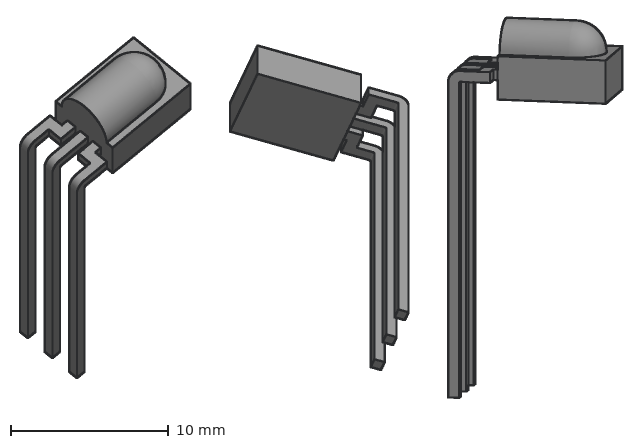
import cadquery as cq

total_height = 24.1
total_depth = 10.2

body_width = 5.09
body_depth = 7.0
body_height = 2.8
lens_radius = 2.0
lens_back_margin = 0.5
body_top = total_height - lens_radius
lens_straight_length = body_depth - lens_back_margin - lens_radius

lead_size = 0.7
lead_reach = total_depth - body_depth
bend_inner_radius = 0.12
bend_outer_radius = lead_size
lead_center_z = body_top - body_height / 2
lead_top = lead_center_z + lead_size / 2
lead_bottom = lead_center_z - lead_size / 2

jog_gap = 0.5
jog_depth = 0.82
root_width = 0.72
root_inner_x = 0.77
outer_lead_x = (body_width - lead_size) / 2


def make_body():
    """Rectangular block carrying a half-cylinder lens with a spherical end."""
    block = cq.Workplane("XY").box(body_width, body_depth, body_height, centered=(True, False, False))
    block = block.translate((0, 0, body_top - body_height))
    barrel = (
        cq.Workplane("XZ", origin=(0, 0, body_top))
        .moveTo(-lens_radius, 0)
        .threePointArc((0, lens_radius), (lens_radius, 0))
        .close()
        .extrude(-lens_straight_length)
    )
    dome = (
        cq.Workplane("XY", origin=(0, lens_straight_length, body_top))
        .moveTo(-lens_radius, 0)
        .lineTo(lens_radius, 0)
        .threePointArc((0, lens_radius), (-lens_radius, 0))
        .close()
        .revolve(90, (0, 0, 0), (1, 0, 0))
    )
    return block.union(barrel).union(dome)


def make_bent_lead(center_x, start_y):
    """Square lead running forward from start_y, then bending straight down."""
    strip = (
        cq.Workplane("YZ", origin=(center_x, 0, 0))
        .moveTo(start_y, lead_top)
        .lineTo(bend_outer_radius - lead_reach, lead_top)
        .radiusArc((-lead_reach, lead_top - bend_outer_radius), -bend_outer_radius)
        .lineTo(-lead_reach, 0)
        .lineTo(lead_size - lead_reach, 0)
        .lineTo(lead_size - lead_reach, lead_bottom - bend_inner_radius)
        .radiusArc((lead_size + bend_inner_radius - lead_reach, lead_bottom), bend_inner_radius)
        .lineTo(start_y, lead_bottom)
        .close()
    )
    return strip.extrude(lead_size / 2, both=True)


def make_jog(side):
    """L-shaped plate joining the body to an outer lead; side is -1 or +1 along X."""
    outer_x = side * body_width / 2
    inner_x = side * root_inner_x
    root_outer_x = side * (root_inner_x + root_width)
    outline = [
        (inner_x, 0),
        (root_outer_x, 0),
        (root_outer_x, -jog_gap),
        (outer_x, -jog_gap),
        (outer_x, -jog_gap - jog_depth),
        (inner_x, -jog_gap - jog_depth),
    ]
    return cq.Workplane("XY", origin=(0, 0, lead_bottom)).polyline(outline).close().extrude(lead_size)


result = make_body().union(make_bent_lead(0, 0))
for side in (-1, 1):
    outer_lead = make_bent_lead(side * outer_lead_x, -jog_gap).union(make_jog(side))
    result = result.union(outer_lead)